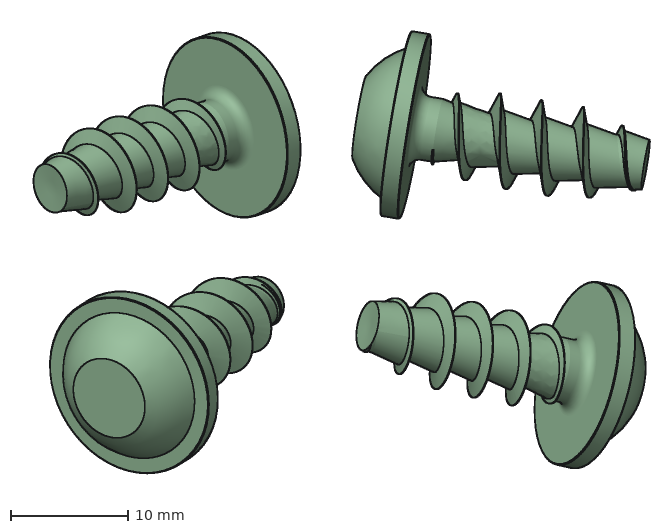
import cadquery as cq
import math


flange_radius = 8.0
flange_thickness = 1.6
flange_edge_chamfer = 0.08
dome_base_radius = 6.6
dome_top_radius = 3.6
dome_height = 3.2

neck_radius = 2.73
neck_length = 2.0
neck_fillet_radius = 1.0
lead_cone_length = 2.5
core_radius = 2.15
shank_length = 20.0
tip_cone_slope = 0.19
tip_rim_width = 0.13
tip_recess_depth = 0.15

pitch = 3.6
depth_at_angle_zero = 2.92
major_radius = 4.0
crest_width = 0.08
flank_angle = 17.0
run_in_start_angle = -210
run_in_start_radius = 2.83
run_in_end_angle = 270
run_out_start_angle = 1155
run_out_end_angle = 1680
run_out_end_radius = 2.24
max_span_angle = 225
span_steps = 14

root_radius = 2.72
root_end_radius = 2.12
root_rise_length = 0.3
root_fall_length = 3.2
root_start_angle = -360
root_turns = 6
buried_radius = 1.95
envelope_clearance = 0.1

seam_angle = 137.0


def turn(outline):
    """Revolve an open (radius, depth) outline about the screw axis."""
    body = outline.close().revolve(360, (0, 0, 0), (0, 1, 0))
    return body.rotate((0, 0, 0), (0, 0, 1), seam_angle)


def make_head():
    centre_drop = (dome_base_radius**2 - dome_top_radius**2 - dome_height**2) / (2 * dome_height)
    sphere_radius = math.hypot(dome_base_radius, centre_drop)
    mid_rise = dome_height / 2
    mid_radius = math.sqrt(sphere_radius**2 - (centre_drop + mid_rise) ** 2)
    dome_base = -flange_thickness
    dome_top = dome_base - dome_height
    rim = flange_radius - flange_edge_chamfer
    return turn(
        cq.Workplane("XZ")
        .moveTo(0, 0)
        .lineTo(rim, 0)
        .lineTo(flange_radius, -flange_edge_chamfer)
        .lineTo(flange_radius, dome_base + flange_edge_chamfer)
        .lineTo(rim, dome_base)
        .lineTo(dome_base_radius, dome_base)
        .threePointArc((mid_radius, dome_base - mid_rise), (dome_top_radius, dome_top))
        .lineTo(0, dome_top)
    )


def make_core():
    fillet_outer = neck_radius + neck_fillet_radius
    diagonal = neck_fillet_radius * math.sqrt(0.5)
    fillet_mid = (fillet_outer - diagonal, neck_fillet_radius - diagonal)
    return turn(
        cq.Workplane("XZ")
        .moveTo(0, 0)
        .lineTo(fillet_outer, 0)
        .threePointArc(fillet_mid, (neck_radius, neck_fillet_radius))
        .lineTo(neck_radius, neck_length)
        .lineTo(core_radius, neck_length + lead_cone_length)
        .lineTo(core_radius, shank_length)
        .lineTo(0, shank_length)
    )


def thread_depth(angle):
    return depth_at_angle_zero + pitch * angle / 360


def crest_radius(angle):
    """The crest rises out of the neck, runs at full height and sinks into the tip cone."""
    run_in = (angle - run_in_start_angle) / (run_in_end_angle - run_in_start_angle)
    run_out = (run_out_end_angle - angle) / (run_out_end_angle - run_out_start_angle)
    return min(
        major_radius,
        run_in_start_radius + (major_radius - run_in_start_radius) * run_in,
        run_out_end_radius + (major_radius - run_out_end_radius) * run_out,
    )


def fin_section(angle):
    depth = max(thread_depth(angle), neck_length)
    crest = crest_radius(angle)
    half_crest = crest_width / 2
    half_base = half_crest + (crest - buried_radius) * math.tan(math.radians(flank_angle))
    return [
        (buried_radius, depth - half_base),
        (crest, depth - half_crest),
        (crest, depth + half_crest),
        (buried_radius, depth + half_base),
    ]


def split_spans(limits):
    """Divide the angles between the limits into equal spans of less than a turn."""
    ends = [limits[0]]
    for start, end in zip(limits, limits[1:]):
        count = math.ceil((end - start) / max_span_angle)
        ends += [start + (end - start) * (i + 1) / count for i in range(count)]
    return ends


def make_ridge(section, span_ends):
    """Solid wound around the axis; section(angle) lists its (radius, depth) corners."""

    def corners(angle):
        turn_angle = math.radians(angle)
        return [
            cq.Vector(radius * math.cos(turn_angle), radius * math.sin(turn_angle), depth)
            for radius, depth in section(angle)
        ]

    faces = []
    for start, end in zip(span_ends, span_ends[1:]):
        step = (end - start) / span_steps
        stations = [corners(start + step * i) for i in range(span_steps + 1)]
        edges = [cq.Edge.makeSpline(list(path)) for path in zip(*stations)]
        for edge, next_edge in zip(edges, edges[1:] + edges[:1]):
            faces.append(cq.Face.makeRuledSurface(edge, next_edge))
    for end in (span_ends[0], span_ends[-1]):
        faces.append(cq.Face.makeFromWires(cq.Wire.makePolygon(corners(end), close=True)))
    return cq.Workplane(obj=cq.Solid.makeSolid(cq.Shell.makeShell(faces)))


def make_root():
    start_depth = thread_depth(root_start_angle)
    section = (
        cq.Workplane("XZ")
        .polyline([
            (buried_radius, start_depth - root_rise_length),
            (root_radius, start_depth),
            (root_end_radius, start_depth + root_fall_length),
            (buried_radius, start_depth + root_fall_length),
        ])
        .close()
    )
    helix = cq.Wire.makeHelix(pitch, root_turns * pitch, root_radius)
    path = helix.moved(cq.Location(cq.Vector(0, 0, start_depth)))
    ridge = section.sweep(cq.Workplane(obj=path), isFrenet=True)
    outer = root_radius + envelope_clearance
    cone_length = (outer - core_radius) / tip_cone_slope
    envelope = turn(
        cq.Workplane("XZ")
        .moveTo(0, neck_length)
        .lineTo(neck_radius, neck_length)
        .lineTo(outer, neck_length + envelope_clearance)
        .lineTo(outer, shank_length - cone_length)
        .lineTo(core_radius, shank_length)
        .lineTo(0, shank_length)
    )
    return ridge.intersect(envelope)


def make_fin():
    helix_start_angle = 360 * (neck_length - depth_at_angle_zero) / pitch
    limits = [
        run_in_start_angle,
        helix_start_angle,
        run_in_end_angle,
        run_out_start_angle,
        run_out_end_angle,
    ]
    return make_ridge(fin_section, split_spans(limits))


def make_tip_recess():
    return turn(
        cq.Workplane("XZ")
        .moveTo(0, shank_length)
        .lineTo(core_radius - tip_rim_width, shank_length)
        .lineTo(0, shank_length - tip_recess_depth)
    )


shank = make_core().union(make_root()).union(make_fin())
screw = make_head().union(shank).cut(make_tip_recess())

result = screw.rotate((0, 0, 0), (1, 0, 0), 90)